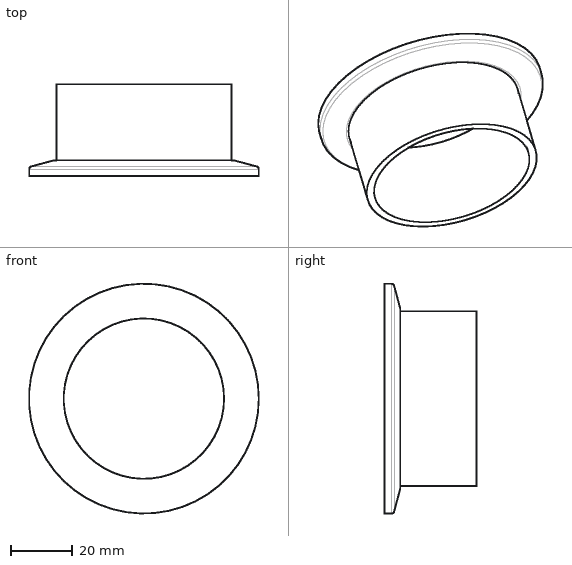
import cadquery as cq
import math

flange_radius = 37.5
pipe_outer_radius = 28.6
bore_radius = 26.1
total_length = 30.0
rim_thickness = 2.25
flange_thickness = 5.2
taper_angle = 15.0
edge_radius = 1.0

taper = math.radians(taper_angle)
round_center_radius = flange_radius - edge_radius


def edge_round_point(angle):
    """Point (radius, Y) on the edge round, angle measured from the radial direction."""
    return (
        round_center_radius + edge_radius * math.cos(angle),
        rim_thickness + edge_radius * math.sin(angle),
    )


round_end_angle = math.pi / 2 - taper
round_end = edge_round_point(round_end_angle)
round_middle = edge_round_point(round_end_angle / 2)

root_radius = round_end[0] - (flange_thickness - round_end[1]) / math.tan(taper)

profile = (
    cq.Workplane("XY")
    .moveTo(bore_radius, 0)
    .lineTo(flange_radius, 0)
    .lineTo(flange_radius, rim_thickness)
    .threePointArc(round_middle, round_end)
    .lineTo(root_radius, flange_thickness)
    .lineTo(pipe_outer_radius, flange_thickness)
    .lineTo(pipe_outer_radius, total_length)
    .lineTo(bore_radius, total_length)
    .close()
)

result = profile.revolve(360, (0, 0, 0), (0, 1, 0))